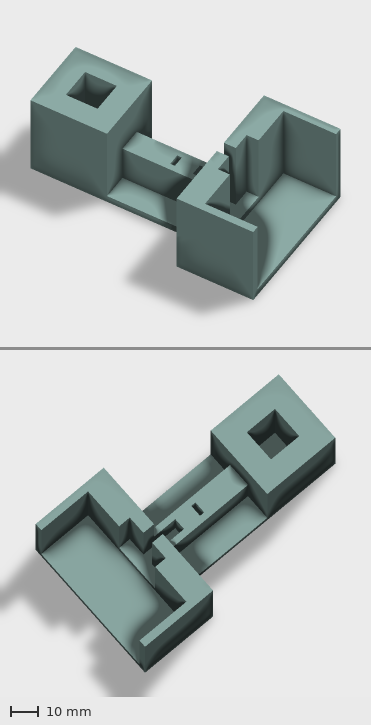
import cadquery as cq

length = 102.0
cube_side = 32.0
base_thickness = 3.0
block_width = 31.0
housing_width = 60.0
housing_start = length - cube_side
total_height = base_thickness + cube_side

rail_width = 9.8
rail_top = 18.0

well_side = 13.3
well_center = cube_side / 2

pocket_start = 80.0
side_wall = 3.1
step_start = 75.0
step_width = 19.8
slot_start = 60.0
slot_width = 4.8
slot_floor = 2 * base_thickness

hole_start = 50.5
hole_length = 1.9


def box(x_start, x_end, width, z_bottom, z_top):
    """Box symmetric about the XZ plane."""
    return (
        cq.Workplane("XY")
        .box(x_end - x_start, width, z_top - z_bottom, centered=(False, True, False))
        .translate((x_start, 0, z_bottom))
    )


def make_body():
    """Base, block, rail and housing before any material is removed."""
    base = box(0, length, block_width, 0, base_thickness)
    block = box(0, cube_side, block_width, 0, total_height)
    rail = box(cube_side, housing_start, rail_width, 0, rail_top)
    housing = box(housing_start, length, housing_width, 0, total_height)
    return base.union(block).union(rail).union(housing)


def cut_from_top(body, x_start, x_end, width, floor=base_thickness):
    """Cut a rectangular opening from the top down to the given floor height."""
    return body.cut(box(x_start, x_end, width, floor, total_height))


result = make_body()

result = cut_from_top(result, well_center - well_side / 2, well_center + well_side / 2, well_side)

result = cut_from_top(result, hole_start, hole_start + hole_length, slot_width)

result = cut_from_top(result, slot_start, pocket_start, slot_width, slot_floor)
result = cut_from_top(result, step_start, pocket_start, step_width, slot_floor)
result = cut_from_top(result, pocket_start, length, housing_width - 2 * side_wall)